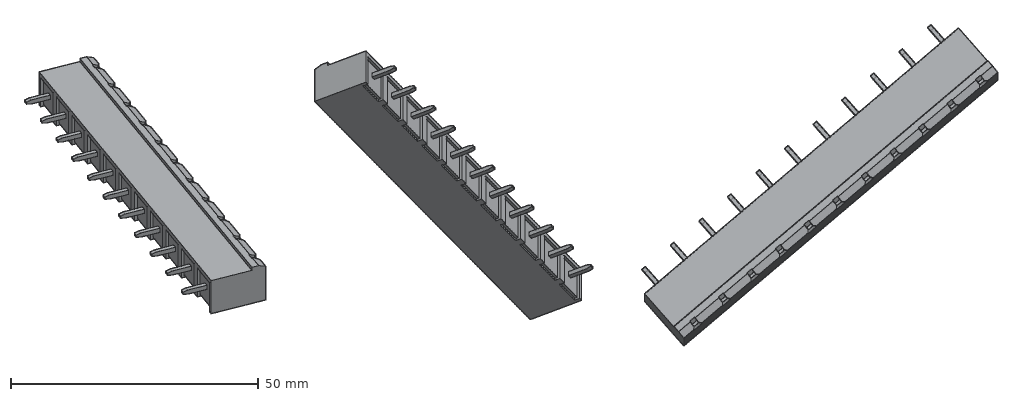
import cadquery as cq
import math

length = 83.8
depth = 12.15
total_depth = 16.8
ridge_height = 8.8
deck_height = 8.0

ridge_depth = 3.1
slope_depth = 1.6
slope_drop = 0.63

pole_count = 11
pitch = 7.6

pocket_width = 5.95
pocket_top = 7.0
pocket_depth = 0.6
foot_height = 0.5
foot_recess = 2 * pocket_depth

pin_width = 0.9
pin_thickness = 1.0
pin_height = 4.3
tip_length = 1.0
tip_thickness = 0.5

notch_width = 1.25
notch_bottom = 7.8
notch_length = 1.8
notch_floor_length = 1.1
floor_radius = 2.5
mouth_flare = 0.5

pole_positions = [(i - (pole_count - 1) / 2) * pitch for i in range(pole_count)]


def side_prism(points, width):
    """Extrude a (y, z) outline along X, centred on x = 0."""
    return cq.Workplane("YZ").polyline(points).close().extrude(width / 2, both=True)


def make_housing():
    return side_prism(
        [
            (0, 0),
            (0, ridge_height - slope_drop),
            (-slope_depth, ridge_height),
            (-ridge_depth, ridge_height),
            (-ridge_depth, deck_height),
            (-depth, deck_height),
            (-depth, 0),
        ],
        length,
    )


def make_pocket():
    """Shallow front recess that steps further back along the bottom edge."""
    return side_prism(
        [
            (-depth, 0),
            (-depth, pocket_top),
            (-depth + pocket_depth, pocket_top),
            (-depth + pocket_depth, foot_height),
            (-depth + foot_recess, foot_height),
            (-depth + foot_recess, 0),
        ],
        pocket_width,
    )


def notch_section(flare):
    """Notch outline across the bar, open at the top and grown outward by the flare."""
    half_width = notch_width / 2 + flare
    radius = floor_radius + flare
    bottom = notch_bottom - flare
    corner = bottom + radius - math.sqrt(radius**2 - half_width**2)
    return (
        cq.Sketch()
        .segment((-half_width, ridge_height), (-half_width, corner))
        .arc((-half_width, corner), (0, bottom), (half_width, corner))
        .segment((half_width, corner), (half_width, ridge_height))
        .close()
        .assemble()
    )


def make_notch():
    slot = cq.Workplane("XZ").placeSketch(notch_section(0)).extrude(notch_length)
    envelope = side_prism(
        [
            (0, notch_bottom),
            (-notch_floor_length, notch_bottom),
            (-notch_length, ridge_height),
            (0, ridge_height),
        ],
        notch_width,
    )
    mouth = (
        cq.Workplane("XZ")
        .placeSketch(
            notch_section(mouth_flare),
            notch_section(0).moved(cq.Location(cq.Vector(0, 0, mouth_flare))),
        )
        .loft(ruled=True)
    )
    return slot.intersect(envelope).union(mouth)


def make_pin():
    root = -depth + pocket_depth
    shoulder = -total_depth + tip_length
    half_thickness = pin_thickness / 2
    half_tip = tip_thickness / 2
    return side_prism(
        [
            (root, pin_height - half_thickness),
            (root, pin_height + half_thickness),
            (shoulder, pin_height + half_thickness),
            (-total_depth, pin_height + half_tip),
            (-total_depth, pin_height - half_tip),
            (shoulder, pin_height - half_thickness),
        ],
        pin_width,
    )


pocket = make_pocket()
notch = make_notch()
pin = make_pin()

result = make_housing()
for x in pole_positions:
    place = cq.Vector(x, 0, 0)
    result = result.cut(pocket.translate(place))
    result = result.cut(notch.translate(place))
    result = result.union(pin.translate(place))